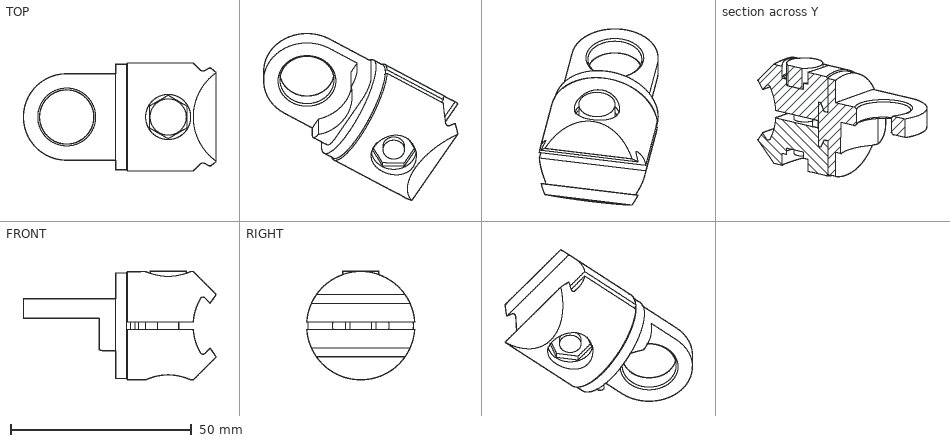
import cadquery as cq
import math


total_length = 53.4

eye_radius = 12.0
eye_hole_radius = 7.5
eye_hole_chamfer = 0.55
eye_top = 7.5
eye_thickness = 5.45
foot_front = 8.95
foot_bottom = -7.0
foot_corner_radius = 5.0
foot_relief_radius = 12.5

flange_front = 13.5
flange_thickness = 3.0
flange_radius = 14.65
neck_radius = 6.0
neck_length = 1.1
cone_length = 1.3
cone_rise = 1.8
collar_length = 0.95

block_length = 2.0
block_side = 8.55

shell_radius = 15.0
shell_gap = 2.05
pipe_radius = 15.0
pipe_center_x = 50.05
hook_root_z = 8.4
hook_inner_tip = (39.7, 6.2)
hook_outer_z = 8.6
hook_root_fillet = 0.8

screw_x = 28.1
shank_radius = 3.0
head_radius = 5.0
head_top = 15.1
head_height = 6.0
counterbore_radius = 6.25
counterbore_floor = 10.95
hex_width = 10.4

flange_back = flange_front + flange_thickness
cone_start = flange_back + neck_length
cone_end = cone_start + cone_length
collar_end = cone_end + collar_length
collar_radius = neck_radius + cone_rise
jaw_end = total_length - eye_radius
hook_outer_tip = (jaw_end, hook_outer_z)
pipe_wall_x = pipe_center_x - pipe_radius
screw_seat = head_top - head_height
shell_chamfer = shell_radius - flange_radius
hex_corner_diameter = hex_width / math.cos(math.pi / 6)


def x_cylinder(start, end, radius):
    return cq.Workplane("YZ", origin=(start, 0, 0)).circle(radius).extrude(end - start)


def z_cylinder(x, bottom, top, radius):
    return cq.Workplane("XY", origin=(x, 0, bottom)).circle(radius).extrude(top - bottom)


def make_stem():
    """Round stem: neck, cone and collar turned about the X axis."""
    return (
        cq.Workplane("XY")
        .moveTo(flange_back, 0)
        .lineTo(flange_back, neck_radius)
        .lineTo(cone_start, neck_radius)
        .lineTo(cone_end, collar_radius)
        .lineTo(collar_end, collar_radius)
        .lineTo(collar_end, 0)
        .close()
        .revolve(360, (0, 0, 0), (1, 0, 0))
    )


def make_hole_rim(face_z, inward):
    """Cone that bevels the eye hole at one plate face; inward is the Z direction into the plate."""
    return (
        cq.Workplane("XY", origin=(0, 0, face_z))
        .circle(eye_hole_radius + eye_hole_chamfer)
        .workplane(offset=inward * eye_hole_chamfer)
        .circle(eye_hole_radius)
        .loft(ruled=True)
    )


def make_eye():
    """Eye plate on its foot, with the flange and the swivel stem."""
    eye_bottom = eye_top - eye_thickness
    plate = (
        cq.Workplane("XY", origin=(0, 0, eye_bottom))
        .moveTo(0, eye_radius)
        .threePointArc((-eye_radius, 0), (0, -eye_radius))
        .lineTo(flange_front, -eye_radius)
        .lineTo(flange_front, eye_radius)
        .close()
        .extrude(eye_thickness)
    )
    foot = (
        cq.Workplane("XY", origin=(foot_front, 0, foot_bottom))
        .rect(flange_front - foot_front, 2 * eye_radius, centered=(False, True))
        .extrude(eye_bottom - foot_bottom)
        .edges("|X and <Z")
        .fillet(foot_corner_radius)
    )
    relief = z_cylinder(0, foot_bottom, eye_bottom, foot_relief_radius)
    hole = z_cylinder(0, eye_bottom, eye_top, eye_hole_radius)
    hole_rims = [make_hole_rim(eye_top, -1), make_hole_rim(eye_bottom, 1)]
    flange = x_cylinder(flange_front, flange_back, flange_radius)
    lug = plate.union(foot.cut(relief)).cut(hole)
    for rim in hole_rims:
        lug = lug.cut(rim)
    return lug.union(flange).union(make_stem())


def make_block():
    """Square block that closes the stem behind the collar."""
    return cq.Workplane("YZ", origin=(collar_end, 0, 0)).rect(block_side, block_side).extrude(block_length)


def make_jaw_wedge():
    """Prism with 45 degree sides meeting on the pipe axis, which bevels the jaw end of the shells."""
    reach = pipe_center_x - flange_back
    return (
        cq.Workplane("XZ")
        .polyline([(pipe_center_x, 0), (flange_back, reach), (flange_back, -reach)])
        .close()
        .extrude(shell_radius, both=True)
    )


def make_jaw_opening():
    """Pipe seat with undercut hooks, as the prism to be removed above Z = 0."""
    root_angle = math.asin(hook_root_z / pipe_radius) / 2
    arc_middle = (
        pipe_center_x - pipe_radius * math.cos(root_angle),
        pipe_radius * math.sin(root_angle),
    )
    arc_end = (pipe_center_x - math.sqrt(pipe_radius**2 - hook_root_z ** 2), hook_root_z)
    opening = (
        cq.Workplane("XZ")
        .moveTo(pipe_wall_x, 0)
        .threePointArc(arc_middle, arc_end)
        .lineTo(*hook_inner_tip)
        .lineTo(*hook_outer_tip)
        .lineTo(pipe_center_x, hook_outer_z)
        .lineTo(pipe_center_x, 0)
        .close()
        .extrude(shell_radius, both=True)
    )
    root_edge = cq.selectors.NearestToPointSelector((arc_end[0], 0, arc_end[1]))
    return opening.edges("|Y").edges(root_edge).fillet(hook_root_fillet)


def make_screw_pocket():
    """Shank hole, hexagonal seat and round counterbore."""
    hole = z_cylinder(screw_x, 0, screw_seat, shank_radius)
    hex_seat = (
        cq.Workplane("XY", origin=(screw_x, 0, screw_seat))
        .transformed(rotate=(0, 0, 90))
        .polygon(6, hex_corner_diameter)
        .extrude(counterbore_floor - screw_seat)
    )
    counterbore = z_cylinder(screw_x, counterbore_floor, head_top, counterbore_radius)
    return hole.union(hex_seat).union(counterbore)


def make_upper_shell():
    """Upper half of the clamp, hollowed to fit the stem and the block."""
    barrel = x_cylinder(flange_back, jaw_end, shell_radius).faces("<X").edges().chamfer(shell_chamfer)
    upper_half = (
        cq.Workplane("XY", origin=(flange_back, 0, shell_gap / 2))
        .rect(jaw_end - flange_back, 2 * shell_radius, centered=(False, True))
        .extrude(shell_radius)
    )
    return (
        barrel.intersect(make_jaw_wedge())
        .intersect(upper_half)
        .cut(make_jaw_opening())
        .cut(make_stem())
        .cut(make_block())
        .cut(make_screw_pocket())
    )


def make_screw():
    """Cylinder-head screw through both shells, its end level with the lower counterbore floor."""
    head = z_cylinder(screw_x, screw_seat, head_top, head_radius)
    shank = z_cylinder(screw_x, -counterbore_floor, screw_seat, shank_radius)
    return head.union(shank)


eye = make_eye()
block = make_block()
upper_shell = make_upper_shell()
lower_shell = upper_shell.mirror("XY")
screw = make_screw()

result = cq.Compound.makeCompound(
    [eye.val(), block.val(), upper_shell.val(), lower_shell.val(), screw.val()]
)